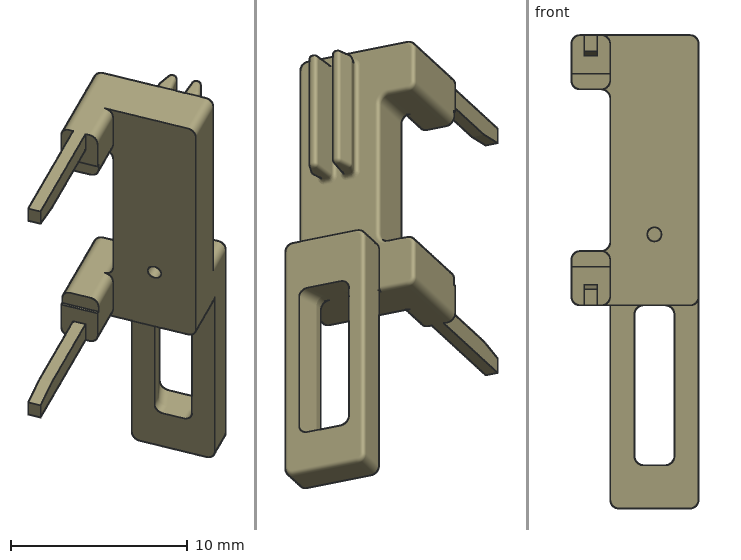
import cadquery as cq

TOTAL_HEIGHT = 26.8
TOTAL_WIDTH = 7.2
TOTAL_DEPTH = 14.75

ARM_WIDTH = 2.2
ARM_HEIGHT = 3.08
ARM_LENGTH = 5.5
BODY_HEIGHT = 15.3
BODY_THICKNESS = 3.0
TONGUE_THICKNESS = 2.0
TONGUE_HEIGHT = 14.58

CORNER_RADIUS = 0.5
EDGE_RADIUS = 0.25

STEP_HEIGHT = 0.88
STEP_DEPTH = 0.15

PIN_WIDTH = 0.75
PIN_HEIGHT = 1.18
PIN_TIP_HEIGHT = 0.9
PIN_TAPER_LENGTH = 1.85

SLOT_WIDTH = 2.25
SLOT_STRAIGHT_DEPTH = 0.6
SLOT_FLARE = 0.43
SLOT_BOTTOM = 2.47

HOLE_DIAMETER = 0.8
HOLE_DEPTH = 1.5
HOLE_BELOW_TOP = 11.28

FIN_BELOW_TOP = 0.72
FIN_LENGTH = 7.05
FIN_INNER_BASE = 0.32
FIN_INNER_TOP = 0.48
FIN_OUTER_BASE = 1.0
FIN_OUTER_TIP = 1.25
FIN_OUTER_TOP = 0.95
FIN_TIP_HEIGHT = 1.0
FIN_HEIGHT = TONGUE_THICKNESS

BODY_BOTTOM = TOTAL_HEIGHT - BODY_HEIGHT
BODY_CENTER_X = (ARM_WIDTH + TOTAL_WIDTH) / 2
BODY_CENTER_Z = BODY_BOTTOM + BODY_HEIGHT / 2
FIN_TOP = TOTAL_HEIGHT - FIN_BELOW_TOP
FIN_BOTTOM = FIN_TOP - FIN_LENGTH
PIN_END_Y = TONGUE_THICKNESS - TOTAL_DEPTH


def block(x_range, y_range, z_range):
    """Box between the given limits."""
    sizes = [high - low for low, high in (x_range, y_range, z_range)]
    corner = (x_range[0], y_range[0], z_range[0])
    return cq.Workplane("XY").box(*sizes, centered=False).translate(corner)


def mirror_to_bottom(shape):
    """Copy of a shape reflected about the middle height of the body."""
    return shape.mirror("XY", (0, 0, BODY_CENTER_Z))


def make_sharp_body():
    """C-shaped body with rounded corners, before its back edge is rounded."""
    body = block((0, TOTAL_WIDTH), (-BODY_THICKNESS, 0), (BODY_BOTTOM, TOTAL_HEIGHT))
    gap = block(
        (0, ARM_WIDTH),
        (-BODY_THICKNESS, 0),
        (BODY_BOTTOM + ARM_HEIGHT, TOTAL_HEIGHT - ARM_HEIGHT),
    )
    return body.cut(gap).edges("|Y").fillet(CORNER_RADIUS)


def make_sharp_tongue(front_y):
    """Rounded tongue plate from front_y to its back face."""
    tongue = block((ARM_WIDTH, TOTAL_WIDTH), (front_y, TONGUE_THICKNESS), (0, TONGUE_HEIGHT))
    return tongue.edges("|Y").fillet(CORNER_RADIUS)


def make_slot():
    """Cutter for the slot, which runs up to the lower edge of the body."""
    front_half = SLOT_WIDTH / 2
    back_half = front_half + SLOT_FLARE
    half_section = [
        (front_half, 0),
        (front_half, SLOT_STRAIGHT_DEPTH),
        (back_half, TONGUE_THICKNESS),
    ]
    right_side = [(BODY_CENTER_X + x, y) for x, y in half_section]
    left_side = [(BODY_CENTER_X - x, y) for x, y in reversed(half_section)]
    slot = (
        cq.Workplane("XY", origin=(0, 0, SLOT_BOTTOM))
        .polyline(right_side + left_side)
        .close()
        .extrude(BODY_BOTTOM - SLOT_BOTTOM)
    )
    return slot.faces("<Z or >Z").edges("not |X").fillet(CORNER_RADIUS)


def make_upper_arm():
    """Arm reaching forward from the top of the body, with its stepped end and tapered pin."""
    arm_bottom = TOTAL_HEIGHT - ARM_HEIGHT
    arm = block((0, ARM_WIDTH), (-ARM_LENGTH, -BODY_THICKNESS), (arm_bottom, TOTAL_HEIGHT))
    arm = arm.edges("|Y").fillet(CORNER_RADIUS)
    step = block(
        (0, ARM_WIDTH),
        (-ARM_LENGTH, -ARM_LENGTH + STEP_DEPTH),
        (arm_bottom, arm_bottom + STEP_HEIGHT),
    )
    pin = (
        cq.Workplane("YZ", origin=((ARM_WIDTH - PIN_WIDTH) / 2, 0, 0))
        .moveTo(-ARM_LENGTH, TOTAL_HEIGHT)
        .lineTo(PIN_END_Y, TOTAL_HEIGHT)
        .lineTo(PIN_END_Y, TOTAL_HEIGHT - PIN_TIP_HEIGHT)
        .lineTo(PIN_END_Y + PIN_TAPER_LENGTH, TOTAL_HEIGHT - PIN_HEIGHT)
        .lineTo(-ARM_LENGTH, TOTAL_HEIGHT - PIN_HEIGHT)
        .close()
        .extrude(PIN_WIDTH)
    )
    return arm.cut(step).union(pin)


def fin_root_selector():
    """Selector for the edges where the fins meet the back face of the body."""
    margin = EDGE_RADIUS / 2
    reach = FIN_OUTER_BASE + margin
    return cq.selectors.BoxSelector(
        (BODY_CENTER_X - reach, -margin, FIN_BOTTOM - margin),
        (BODY_CENTER_X + reach, margin, FIN_TOP + margin),
        boundingbox=True,
    )


def make_fin(side):
    """Barbed snap fin on one side (-1 left, +1 right) of the body centre line."""
    section = [
        (FIN_INNER_BASE, 0),
        (FIN_OUTER_BASE, 0),
        (FIN_OUTER_TIP, FIN_TIP_HEIGHT),
        (FIN_OUTER_TOP, FIN_HEIGHT),
        (FIN_INNER_TOP, FIN_HEIGHT),
    ]
    points = [(BODY_CENTER_X + side * x, y) for x, y in section]
    fin = (
        cq.Workplane("XY", origin=(0, 0, FIN_BOTTOM))
        .polyline(points)
        .close()
        .extrude(FIN_LENGTH)
    )
    return fin.edges(cq.selectors.InverseSelector(fin_root_selector())).fillet(EDGE_RADIUS)


sharp_body = make_sharp_body()
body = sharp_body.faces(">Y").edges().fillet(EDGE_RADIUS)
for side in (-1, 1):
    body = body.union(make_fin(side))
body = body.edges(fin_root_selector()).fillet(EDGE_RADIUS)

hole = (
    cq.Workplane("XZ", origin=(BODY_CENTER_X, -BODY_THICKNESS, TOTAL_HEIGHT - HOLE_BELOW_TOP))
    .circle(HOLE_DIAMETER / 2)
    .extrude(-HOLE_DEPTH)
)
body = body.cut(hole)

tongue = make_sharp_tongue(0).faces(">Y").edges().fillet(EDGE_RADIUS)
tongue_root = make_sharp_tongue(-EDGE_RADIUS).intersect(sharp_body)
tongue = tongue.cut(make_slot())

upper_arm = make_upper_arm()
result = (
    body.union(tongue_root)
    .union(tongue)
    .union(upper_arm)
    .union(mirror_to_bottom(upper_arm))
    .clean()
)